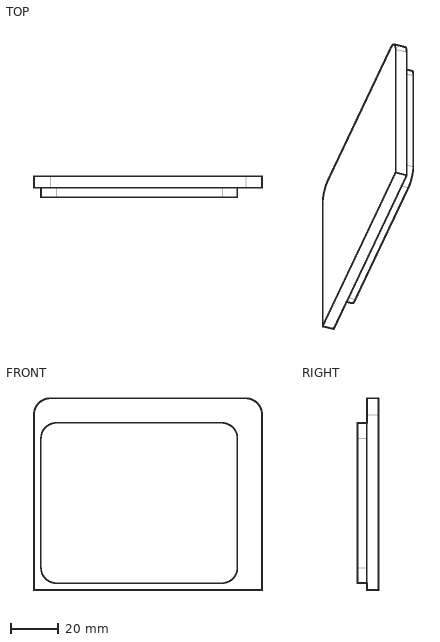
import cadquery as cq

plate_width = 96.45
plate_height = 81.16
plate_thickness = 5.0
plate_corner_radius = 7.0

pad_width = 83.0
pad_height = 67.7
pad_thickness = 4.0
pad_corner_radius = 6.5
pad_margin = 3.0


def make_plate():
    """Plate with its lower left corner at the origin and its front face at Y = 0."""
    plate = cq.Workplane("XY").box(plate_width, plate_thickness, plate_height, centered=False)
    return plate.edges("|Y and >Z").fillet(plate_corner_radius)


def make_pad():
    """Pad standing out of the plate's front face, all four corners rounded."""
    pad = cq.Workplane("XY").box(pad_width, pad_thickness, pad_height, centered=False)
    pad = pad.edges("|Y").fillet(pad_corner_radius)
    return pad.translate((pad_margin, -pad_thickness, pad_margin))


result = make_plate().union(make_pad())